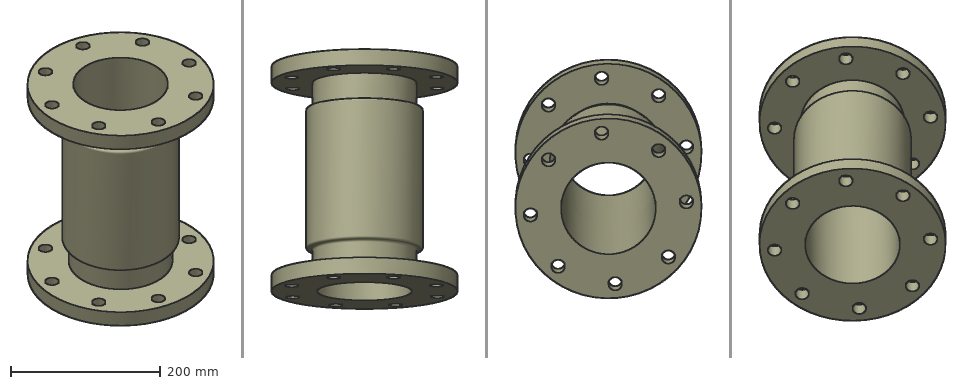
import cadquery as cq

total_height = 307.0
flange_diameter = 250.0
flange_thickness = 22.0
bore_diameter = 127.0
neck_diameter = 139.7
sleeve_diameter = 157.2

shoulder_start = 54.3
shoulder_radius = 3.0

bolt_count = 8
bolt_circle_diameter = 210.0
bolt_hole_diameter = 18.0

half_height = total_height / 2
flange_radius = flange_diameter / 2
neck_radius = neck_diameter / 2
sleeve_radius = sleeve_diameter / 2


def make_flange(bottom_z):
    """Round plate with its lower face at bottom_z."""
    plate = cq.Workplane("XY").workplane(offset=bottom_z)
    return plate.circle(flange_radius).extrude(flange_thickness)


def make_tube():
    """Neck and thicker sleeve, revolved about Z as one solid."""
    neck_end = half_height - shoulder_start
    shoulder_face = neck_end - shoulder_radius
    sleeve_end = shoulder_face - shoulder_radius
    face_inner = neck_radius + shoulder_radius
    face_outer = sleeve_radius - shoulder_radius
    profile = (
        cq.Workplane("XZ")
        .moveTo(0, -half_height)
        .lineTo(neck_radius, -half_height)
        .lineTo(neck_radius, -neck_end)
        .tangentArcPoint((face_inner, -shoulder_face), relative=False)
        .lineTo(face_outer, -shoulder_face)
        .tangentArcPoint((sleeve_radius, -sleeve_end), relative=False)
        .lineTo(sleeve_radius, sleeve_end)
        .tangentArcPoint((face_outer, shoulder_face), relative=False)
        .lineTo(face_inner, shoulder_face)
        .tangentArcPoint((neck_radius, neck_end), relative=False)
        .lineTo(neck_radius, half_height)
        .lineTo(0, half_height)
        .close()
    )
    return profile.revolve(360, (0, 0, 0), (0, 1, 0))


def make_bore():
    """Straight passage through the full height."""
    return cq.Workplane("XY").circle(bore_diameter / 2).extrude(half_height, both=True)


def make_bolt_holes():
    """Holes through both flanges, placed evenly to either side of the X and Y axes."""
    first_angle = 360 / bolt_count / 2
    return (
        cq.Workplane("XY")
        .polarArray(bolt_circle_diameter / 2, first_angle, 360, bolt_count)
        .circle(bolt_hole_diameter / 2)
        .extrude(half_height, both=True)
    )


bottom_flange = make_flange(-half_height)
top_flange = make_flange(half_height - flange_thickness)
body = make_tube().union(bottom_flange).union(top_flange)
result = body.cut(make_bore()).cut(make_bolt_holes())